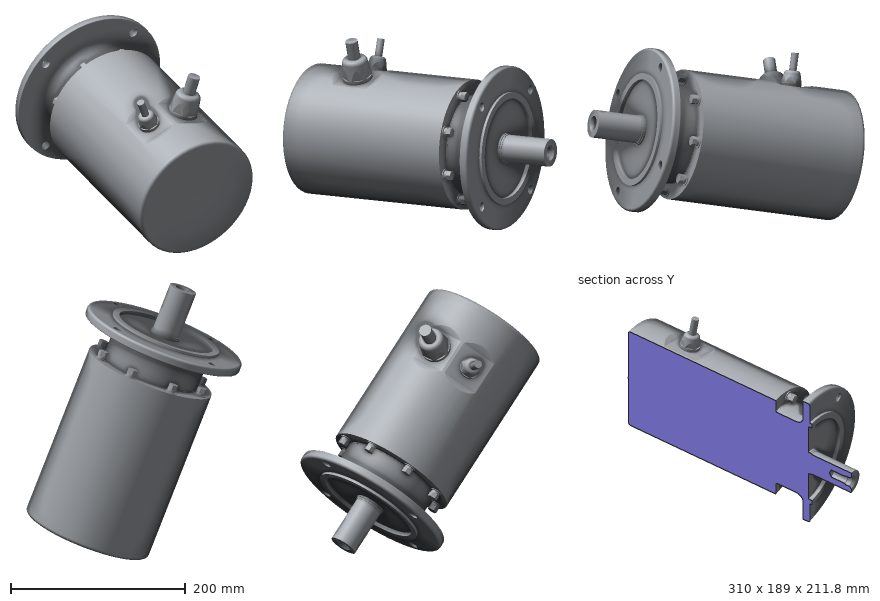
import cadquery as cq
import math


shaft_dia = 32.0
center_chamfer_dia = 18.0
center_chamfer_depth = 3.7
center_recess_dia = 13.0
center_recess_depth = 9.3
center_drill_dia = 10.5
center_drill_depth = 28.0
drill_tip_angle = 120
drill_tip_depth = center_drill_dia / 2 / math.tan(math.radians(drill_tip_angle / 2))

pilot_face_x = 54.5
pilot_dia = 130.0
pilot_height = 3.0
recess_dia = 115.0
recess_depth = 4.5
flange_x = pilot_face_x + pilot_height
flange_back_x = 67.5
flange_dia = 189.0
flange_rim_dia = 183.0
flange_fillet = (flange_dia - flange_rim_dia) / 2
flange_back_fillet = 1.0
flange_hole_dia = 11.0
flange_hole_circle_dia = 165.0
flange_hole_count = 4

seal_steps = [(35.0, 2.2), (33.5, 4.3)]

neck_dia = 114.0
neck_fillet = 9.5
neck_rim_dia = 115.0
neck_rim_height = 1.0
housing_x = 104.8
neck_rim_x = housing_x - neck_rim_height
housing_end_x = 309.5
housing_dia = 150.0
housing_end_fillet = 4.0
end_nub_dia = 1.2
end_nub_x = 310.0

bolt_count = 8
bolt_circle_dia = 130.8
bolt_head_sides = 6
bolt_head_flats = 10.0
bolt_head_x = 95.5
spring_washer_dia = 10.5
spring_washer_x = 101.0
washer_dia = 14.3
washer_x = 104.0

gland_x = 239.0
gland_tilt = 18.0
gland_flat_radius = 72.0
gland_flat_length = 42.0
flat_end_run = 8.0
flat_depth = housing_dia / 2 - gland_flat_radius

wrench_flat_count = 6
power_gland = dict(
    base_dia=34.0,
    collar_height=4.3,
    shoulder_height=22.0,
    shoulder_dia=29.8,
    nose_radius=5.0,
    across_flats=31.0,
    cable_dia=14.3,
    cable_height=49.0,
)
signal_gland = dict(
    base_dia=24.0,
    collar_height=4.0,
    shoulder_height=14.0,
    shoulder_dia=19.2,
    nose_radius=4.0,
    across_flats=20.8,
    cable_dia=8.7,
    cable_height=38.5,
)


def cylinder_x(dia, start_x, end_x):
    return cq.Workplane("YZ").workplane(offset=start_x).circle(dia / 2).extrude(end_x - start_x)


def around_axis(count, circle_dia, start_x):
    """Workplane with points evenly spaced around the motor axis, half a step off the Y axis."""
    step = 360 / count
    return cq.Workplane("YZ").workplane(offset=start_x).polarArray(circle_dia / 2, step / 2, 360, count)


def tilted_plane(tilt):
    """Plane of a gland flat: local X along the motor axis, local Z pointing outward."""
    outward = (0, math.sin(math.radians(tilt)), math.cos(math.radians(tilt)))
    origin = (gland_x, outward[1] * gland_flat_radius, outward[2] * gland_flat_radius)
    return cq.Plane(origin=origin, xDir=(1, 0, 0), normal=outward)


def make_center_hole():
    drill_end = center_drill_depth + drill_tip_depth
    profile = (
        cq.Workplane("XY")
        .lineTo(0, center_chamfer_dia / 2)
        .lineTo(center_chamfer_depth, center_recess_dia / 2)
        .lineTo(center_recess_depth, center_recess_dia / 2)
        .lineTo(center_recess_depth, center_drill_dia / 2)
        .lineTo(center_drill_depth, center_drill_dia / 2)
        .lineTo(drill_end, 0)
        .close()
    )
    return profile.revolve(360, (0, 0, 0), (1, 0, 0))


def make_flange():
    recess_floor_x = pilot_face_x + recess_depth
    flange = cylinder_x(flange_dia, flange_x, flange_back_x)
    flange = flange.faces("<X").edges().fillet(flange_fillet)
    flange = flange.faces(">X").edges().fillet(flange_back_fillet)
    flange = flange.union(cylinder_x(pilot_dia, pilot_face_x, flange_back_x))
    flange = flange.cut(cylinder_x(recess_dia, pilot_face_x, recess_floor_x))
    for seal_dia, seal_height in seal_steps:
        flange = flange.union(cylinder_x(seal_dia, recess_floor_x - seal_height, recess_floor_x))
    hole_points = around_axis(flange_hole_count, flange_hole_circle_dia, flange_x)
    holes = hole_points.circle(flange_hole_dia / 2).extrude(flange_back_x - flange_x)
    return flange.cut(holes)


def make_neck():
    neck_radius = neck_dia / 2
    fillet_end_x = flange_back_x + neck_fillet
    sweep = neck_fillet * (1 - math.sqrt(0.5))
    profile = (
        cq.Workplane("XY")
        .moveTo(flange_back_x, 0)
        .lineTo(flange_back_x, neck_radius + neck_fillet)
        .threePointArc(
            (flange_back_x + sweep, neck_radius + sweep), (fillet_end_x, neck_radius)
        )
        .lineTo(neck_rim_x, neck_radius)
        .lineTo(neck_rim_x, 0)
        .close()
    )
    return profile.revolve(360, (0, 0, 0), (1, 0, 0))


def make_flat_cutter(tilt):
    """Trapezoid that leaves a flat with an inclined wall at each end."""
    half_length = gland_flat_length / 2
    top_half_length = half_length + flat_end_run
    plane = tilted_plane(tilt)
    section = cq.Plane(origin=plane.origin, xDir=(1, 0, 0), normal=plane.yDir * -1)
    return (
        cq.Workplane(section)
        .polyline([
            (-half_length, 0),
            (half_length, 0),
            (top_half_length, flat_depth),
            (-top_half_length, flat_depth),
        ])
        .close()
        .extrude(gland_flat_length, both=True)
    )


def make_housing():
    housing = cylinder_x(housing_dia, housing_x, housing_end_x)
    housing = housing.faces(">X").edges().fillet(housing_end_fillet)
    housing = housing.union(cylinder_x(end_nub_dia, housing_end_x, end_nub_x))
    housing = housing.union(cylinder_x(neck_rim_dia, neck_rim_x, housing_x))
    for tilt in (gland_tilt, -gland_tilt):
        housing = housing.cut(make_flat_cutter(tilt))
    return housing


def make_bolts():
    head_points = around_axis(bolt_count, bolt_circle_dia, bolt_head_x)
    heads = head_points.polygon(bolt_head_sides, bolt_head_flats, circumscribed=True).extrude(
        spring_washer_x - bolt_head_x
    )
    spring_points = around_axis(bolt_count, bolt_circle_dia, spring_washer_x)
    spring_washers = spring_points.circle(spring_washer_dia / 2).extrude(washer_x - spring_washer_x)
    washer_points = around_axis(bolt_count, bolt_circle_dia, washer_x)
    washers = washer_points.circle(washer_dia / 2).extrude(housing_x - washer_x)
    return heads.union(spring_washers).union(washers)


def make_motor():
    motor = make_housing().union(make_neck()).union(make_flange()).union(make_bolts())
    shaft = cylinder_x(shaft_dia, 0, flange_back_x).cut(make_center_hole())
    return motor.union(shaft)


def make_gland(tilt, base_dia, collar_height, shoulder_height, shoulder_dia, nose_radius,
               across_flats, cable_dia, cable_height):
    """Tapered cable gland with a rounded nose, six wrench flats and a stub of its cable."""
    nose_height = shoulder_height + nose_radius
    nose_sweep = nose_radius * math.sqrt(0.5)
    nose_center_radius = shoulder_dia / 2 - nose_radius
    body = (
        cq.Workplane("XZ")
        .lineTo(base_dia / 2, 0)
        .lineTo(base_dia / 2, collar_height)
        .lineTo(shoulder_dia / 2, shoulder_height)
        .threePointArc(
            (nose_center_radius + nose_sweep, shoulder_height + nose_sweep),
            (nose_center_radius, nose_height),
        )
        .lineTo(0, nose_height)
        .close()
        .revolve(360, (0, 0, 0), (0, 1, 0))
    )
    wrench = cq.Workplane("XY").workplane(offset=collar_height)
    flat_cutter = wrench.circle(base_dia).extrude(nose_height).cut(
        wrench.polygon(wrench_flat_count, across_flats, circumscribed=True)
        .extrude(nose_height)
    )
    cable = cq.Workplane("XY").circle(cable_dia / 2).extrude(cable_height)
    gland = body.cut(flat_cutter).union(cable)
    return gland.val().moved(cq.Location(tilted_plane(tilt)))


motor = make_motor()
power_cable_gland = make_gland(gland_tilt, **power_gland)
signal_cable_gland = make_gland(-gland_tilt, **signal_gland)

result = cq.Compound.makeCompound([motor.val(), power_cable_gland, signal_cable_gland])